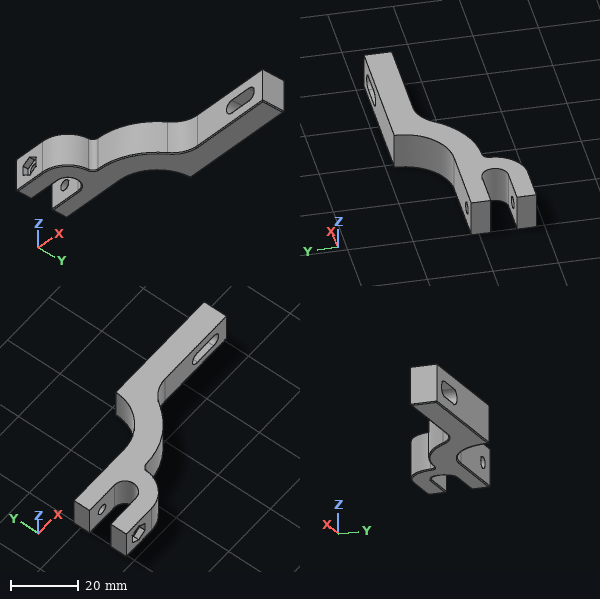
import cadquery as cq
import math

length = 81.5
depth = 35.0
height = 12.0

bend_radius = 15.0
fork_depth = depth - bend_radius
fork_radius = fork_depth / 2
fork_gap = 8.0
fork_center_x = 12.0
fork_center_y = fork_radius

bar_thickness = 8.55
bend_center_x = 24.0
neck_radius = bend_radius + bar_thickness
bar_fillet_radius = 10.0

screw_x = fork_center_x / 2
screw_diameter = 3.6
nut_width = 5.9
nut_depth = 2.0

slot_length = 12.55
slot_width = 4.8
slot_end_margin = 3.8

bottom_chamfer = 0.3


def point_between(start, end, distance):
    """Point at the given distance from start on the way to end."""
    ratio = distance / math.dist(start, end)
    return (start[0] + ratio * (end[0] - start[0]), start[1] + ratio * (end[1] - start[1]))


def arc_middle(center, start, end):
    """Middle of the shorter arc from start to end around center."""
    chord_middle = ((start[0] + end[0]) / 2, (start[1] + end[1]) / 2)
    return point_between(center, chord_middle, math.dist(center, start))


def make_body():
    fork_center = (fork_center_x, fork_center_y)
    bend_center = (bend_center_x, depth)
    bar_bottom = depth - bar_thickness

    bar_fillet_y = bar_bottom - bar_fillet_radius
    bar_fillet_x = bend_center_x + math.sqrt(
        (neck_radius + bar_fillet_radius) ** 2 - (depth - bar_fillet_y) ** 2
    )
    bar_fillet_center = (bar_fillet_x, bar_fillet_y)
    bar_fillet_start = (bar_fillet_x, bar_bottom)
    bar_fillet_end = point_between(bend_center, bar_fillet_center, neck_radius)

    neck_bottom = (bend_center_x, depth - neck_radius)
    step_x = neck_bottom[0] - fork_center_x
    step_y = neck_bottom[1] - fork_center_y
    fork_fillet_radius = (step_x**2 + step_y**2 - fork_radius**2) / (2 * (fork_radius + step_y))
    fork_fillet_center = (neck_bottom[0], neck_bottom[1] - fork_fillet_radius)
    fork_fillet_end = point_between(fork_center, fork_fillet_center, fork_radius)

    fork_bottom = (fork_center_x, 0)
    bend_start = (bend_center_x, fork_depth)
    bend_end = (bend_center_x + bend_radius, depth)
    gap_low = fork_center_y - fork_gap / 2
    gap_high = fork_center_y + fork_gap / 2

    return (
        cq.Workplane("XY")
        .moveTo(0, fork_depth)
        .lineTo(*bend_start)
        .threePointArc(arc_middle(bend_center, bend_start, bend_end), bend_end)
        .lineTo(length, depth)
        .lineTo(length, bar_bottom)
        .lineTo(*bar_fillet_start)
        .threePointArc(arc_middle(bar_fillet_center, bar_fillet_start, bar_fillet_end), bar_fillet_end)
        .threePointArc(arc_middle(bend_center, bar_fillet_end, neck_bottom), neck_bottom)
        .threePointArc(arc_middle(fork_fillet_center, neck_bottom, fork_fillet_end), fork_fillet_end)
        .threePointArc(arc_middle(fork_center, fork_fillet_end, fork_bottom), fork_bottom)
        .lineTo(0, 0)
        .lineTo(0, gap_low)
        .lineTo(fork_center_x, gap_low)
        .threePointArc((fork_center_x + fork_gap / 2, fork_center_y), (fork_center_x, gap_high))
        .lineTo(0, gap_high)
        .close()
        .extrude(height)
        .faces("<Z")
        .chamfer(bottom_chamfer)
    )


def front_plane(x):
    """Plane on the fork's front face, at mid height, facing -Y."""
    return cq.Workplane("XZ", origin=(x, 0, height / 2))


def make_screw_hole():
    return front_plane(screw_x).circle(screw_diameter / 2).extrude(-fork_depth)


def make_nut_pocket():
    nut_corner_diameter = nut_width / math.cos(math.pi / 6)
    return (
        front_plane(screw_x)
        .transformed(rotate=(0, 0, 90))
        .polygon(6, nut_corner_diameter)
        .extrude(-nut_depth)
    )


def make_adjustment_slot():
    slot_x = length - slot_end_margin - slot_length / 2
    return front_plane(slot_x).slot2D(slot_length, slot_width).extrude(-depth)


result = (
    make_body()
    .cut(make_screw_hole())
    .cut(make_nut_pocket())
    .cut(make_adjustment_slot())
)